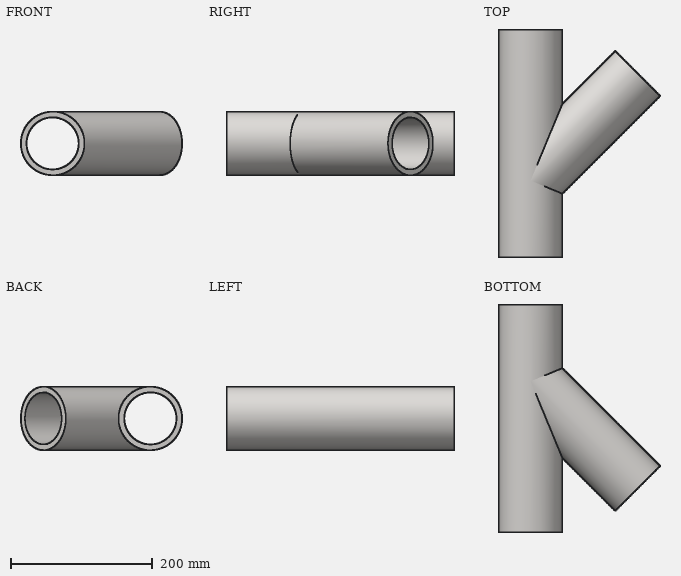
import cadquery as cq
import math

main_length = 321.0
outer_diameter = 90.0
wall = 8.5
branch_angle = 45.0
junction_from_end = 108.2
branch_length = 213.5

bore_diameter = outer_diameter - 2 * wall
main_start = cq.Vector(0, -junction_from_end, 0)
main_direction = cq.Vector(0, 1, 0)
junction = cq.Vector(0, 0, 0)
branch_direction = cq.Vector(
    math.sin(math.radians(branch_angle)),
    math.cos(math.radians(branch_angle)),
    0,
)


def y_shape(diameter):
    """Main cylinder joined to a branch cylinder of the same diameter."""
    radius = diameter / 2
    main = cq.Solid.makeCylinder(radius, main_length, main_start, main_direction)
    branch = cq.Solid.makeCylinder(radius, branch_length, junction, branch_direction)
    return cq.Workplane(obj=main).union(cq.Workplane(obj=branch))


result = y_shape(outer_diameter).cut(y_shape(bore_diameter))